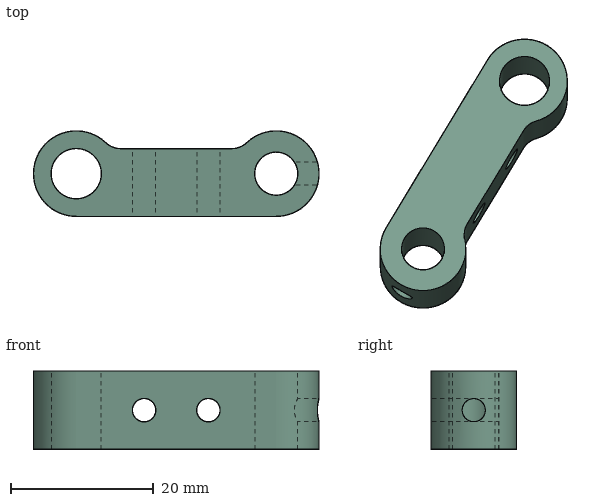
import cadquery as cq
import math

length = 40.0
end_diameter = 12.0
height = 11.0

end_radius = end_diameter / 2
end_x = length / 2 - end_radius
waist_y = 3.5
blend_radius = 3.0

left_bore_diameter = 7.0
right_bore_diameter = 6.0
cross_hole_diameter = 3.25
cross_hole_spacing = 9.0


def link_body():
    """Two round ends joined by a web, with concave blends on the +Y side."""
    blend_y = waist_y + blend_radius
    center_distance = end_radius + blend_radius
    blend_x = end_x - math.sqrt(center_distance**2 - blend_y**2)

    contact_fraction = end_radius / center_distance
    contact_x = end_x + (blend_x - end_x) * contact_fraction
    contact_y = blend_y * contact_fraction

    contact_angle = math.atan2(-blend_y, end_x - blend_x)
    middle_angle = (contact_angle - math.pi / 2) / 2
    middle_x = blend_x + blend_radius * math.cos(middle_angle)
    middle_y = blend_y + blend_radius * math.sin(middle_angle)

    return (
        cq.Workplane("XY")
        .workplane(offset=-height / 2)
        .moveTo(-end_x, -end_radius)
        .lineTo(end_x, -end_radius)
        .threePointArc((end_x + end_radius, 0), (contact_x, contact_y))
        .threePointArc((middle_x, middle_y), (blend_x, waist_y))
        .lineTo(-blend_x, waist_y)
        .threePointArc((-middle_x, middle_y), (-contact_x, contact_y))
        .threePointArc((-end_x - end_radius, 0), (-end_x, -end_radius))
        .close()
        .extrude(height)
    )


def end_bore(x, diameter):
    """Vertical bore through a round end."""
    return cq.Workplane("XY").center(x, 0).circle(diameter / 2).extrude(height, both=True)


def web_holes():
    """Pair of holes through the web along Y."""
    return (
        cq.Workplane("XZ")
        .rarray(cross_hole_spacing, 0.4, 2, 1)
        .circle(cross_hole_diameter / 2)
        .extrude(end_diameter, both=True)
    )


def end_hole():
    """Hole along X from the +X end into the right bore."""
    return (
        cq.Workplane("YZ")
        .workplane(offset=end_x)
        .circle(cross_hole_diameter / 2)
        .extrude(end_diameter)
    )


result = (
    link_body()
    .cut(end_bore(-end_x, left_bore_diameter))
    .cut(end_bore(end_x, right_bore_diameter))
    .cut(web_holes())
    .cut(end_hole())
)